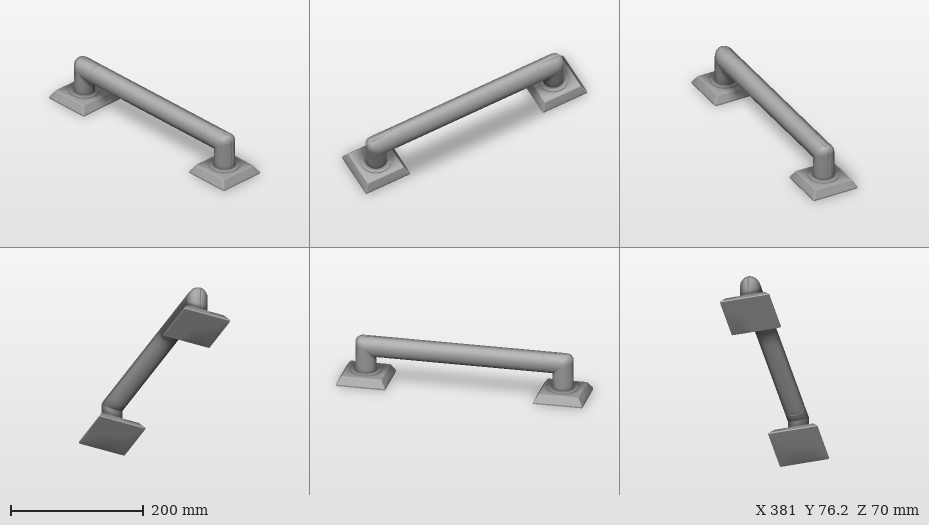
import cadquery as cq

length = 381.0
height = 70.0
base_side = 76.2

tube_diameter = 32.0
tube_radius = tube_diameter / 2
axis_height = height - tube_radius
leg_x = (length - base_side) / 2
elbow_radius = 10.0
vertex_tolerance = 0.005

joint_x = 124.0
groove_width = 1.5
groove_depth = 0.5

lip_height = 2.3
base_height = 13.7
base_top_side = 61.7
corner_radius = 1.5
top_edge_radius = 1.5
collar_diameter = 45.7
collar_height = 1.5
leg_embed = 2.0
leg_bottom = base_height - leg_embed


def make_foot(x):
    """Square foot with an upright lip, sloping sides and a thin collar."""
    lip = cq.Workplane("XY").rect(base_side, base_side).extrude(lip_height)
    body = (
        cq.Workplane("XY", origin=(0, 0, lip_height))
        .rect(base_side, base_side)
        .workplane(offset=base_height - lip_height)
        .rect(base_top_side, base_top_side)
        .loft(ruled=True)
    )
    foot = lip.union(body)
    foot = foot.edges("not(#Z)").fillet(corner_radius)
    foot = foot.faces(">Z").edges().fillet(top_edge_radius)
    collar = (
        cq.Workplane("XY", origin=(0, 0, base_height))
        .circle(collar_diameter / 2)
        .extrude(collar_height)
    )
    return foot.union(collar).translate((x, 0, 0))


def corner_region(x_side, z_side):
    """Block filling one of the four quarters around the left elbow centre, up to mid-length."""
    block = cq.Workplane("XY").box(leg_x, base_side, leg_x)
    return block.translate((-leg_x + x_side * leg_x / 2, 0, axis_height + z_side * leg_x / 2))


def make_half_tube():
    """Left leg and left half of the bar, meeting in a mitre that is rounded on its outside."""
    leg_plane = cq.Plane((-leg_x, 0, leg_bottom), xDir=(-1, 0, 0), normal=(0, 0, 1))
    bar_plane = cq.Plane((0, 0, axis_height), xDir=(0, 0, 1), normal=(-1, 0, 0))
    leg = cq.Workplane(leg_plane).circle(tube_radius).extrude(height - leg_bottom)
    bar = cq.Workplane(bar_plane).circle(tube_radius).extrude(length / 2)

    corner = leg.intersect(bar).intersect(corner_region(-1, 1))
    upper_bar = bar.intersect(corner_region(1, 1))
    outer_leg = leg.intersect(corner_region(-1, -1))
    inner_side = bar.union(leg).intersect(corner_region(1, -1))

    outer_side = corner.union(upper_bar).union(outer_leg)
    outermost_point = cq.Vector(-leg_x - tube_radius, 0, height)
    mitre_edges = [
        edge
        for edge in outer_side.edges("%ELLIPSE").vals()
        if any((end.Center() - outermost_point).Length < vertex_tolerance for end in edge.Vertices())
    ]
    rounded = outer_side.newObject(mitre_edges).fillet(elbow_radius)
    return rounded.union(inner_side)


def make_groove(x):
    """Ring that cuts a shallow groove around the bar."""
    return (
        cq.Workplane("YZ", origin=(x - groove_width / 2, 0, axis_height))
        .circle(tube_radius + groove_depth)
        .circle(tube_radius - groove_depth)
        .extrude(groove_width)
    )


half_tube = make_half_tube()
result = half_tube.union(half_tube.mirror("YZ"))
for side in (-1, 1):
    result = result.union(make_foot(side * leg_x))
    result = result.cut(make_groove(side * joint_x))